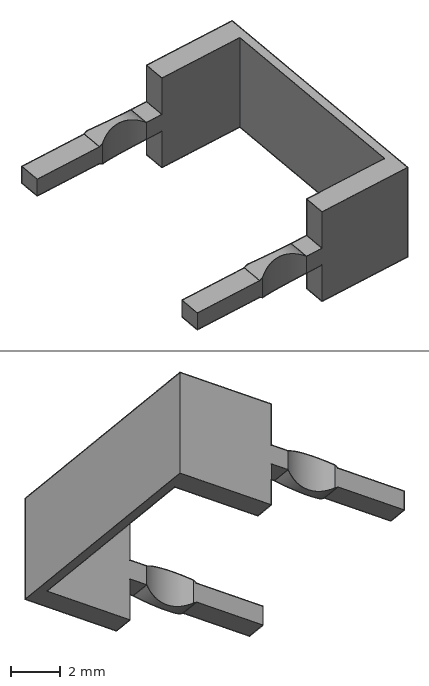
import cadquery as cq

width = 11.43
depth = 10.8
height = 4.8

back_thickness = 0.4
arm_thickness = 1.01
arm_depth = 4.4

prong_height = 0.9
swell_start = 5.2
swell_length = 2.4
swell_height = 1.67
waist_length = 2.25
waist_thickness = 0.37

arm_x = (width - arm_thickness) / 2


def make_body():
    """Back wall with an arm at each end."""
    outer = cq.Workplane("XY").box(width, arm_depth, height).translate((0, -arm_depth / 2, 0))
    gap_depth = arm_depth - back_thickness
    gap = (
        cq.Workplane("XY")
        .box(width - 2 * arm_thickness, gap_depth, height)
        .translate((0, -back_thickness - gap_depth / 2, 0))
    )
    return outer.cut(gap)


def make_prong():
    """Prong on X = 0, swollen above and below and pinched from both sides."""
    half_height = prong_height / 2
    swell_middle = -swell_start - swell_length / 2
    swell_end = -swell_start - swell_length
    side_profile = (
        cq.Workplane("YZ")
        .moveTo(-arm_depth, -half_height)
        .lineTo(-swell_start, -half_height)
        .threePointArc((swell_middle, -swell_height / 2), (swell_end, -half_height))
        .lineTo(-depth, -half_height)
        .lineTo(-depth, half_height)
        .lineTo(swell_end, half_height)
        .threePointArc((swell_middle, swell_height / 2), (-swell_start, half_height))
        .lineTo(-arm_depth, half_height)
        .close()
    )
    prong = side_profile.extrude(arm_thickness / 2, both=True)

    waist_middle = -swell_start - waist_length / 2
    waist_end = -swell_start - waist_length
    for side in (-1, 1):
        edge_x = side * arm_thickness / 2
        scoop = (
            cq.Workplane("XY")
            .moveTo(edge_x, -swell_start)
            .threePointArc((side * waist_thickness / 2, waist_middle), (edge_x, waist_end))
            .close()
            .extrude(swell_height, both=True)
        )
        prong = prong.cut(scoop)
    return prong


result = make_body()
for arm_side in (-1, 1):
    result = result.union(make_prong().translate((arm_side * arm_x, 0, 0)))